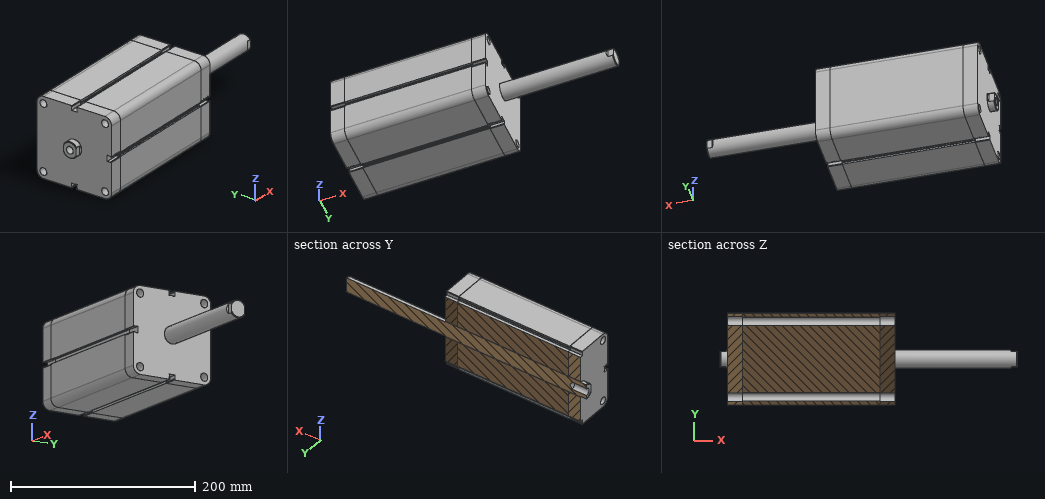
import cadquery as cq
import math

side = 100.0
corner_radius = 9.0
cap_bolt_hole_diameter = 9.0
tube_bolt_hole_diameter = 8.7
cap_bolt_spacing = 82.5
tube_bolt_spacing = 82.0

rod_length = 322.5
rear_stub = 8.0
cap_thickness = 16.5
tube_length = 149.0
rear_cap_start = rear_stub
tube_start = rear_cap_start + cap_thickness
front_cap_start = tube_start + tube_length

slot_width = 7.0
slot_depth = 5.8
cap_mouth_width = 6.0
cap_lip_depth = 1.3
tube_mouth_width = 5.0
tube_lip_depth = 3.0
slot_angles = (-90, 0, 90)

rod_diameter = 20.0
flat_width = 16.8
flat_length = 6.0
end_chamfer = 0.8
thread_hole_diameter = 9.0
thread_hole_depth = 19.5
drill_tip_angle = 118.0


def square_bar(start, length, bolt_spacing, bolt_hole_diameter):
    """Rounded square bar along X with the four bolt holes and the rod bore."""
    return (
        cq.Workplane("YZ", origin=(start, 0, 0))
        .rect(side, side)
        .extrude(length)
        .edges("|X")
        .fillet(corner_radius)
        .faces(">X")
        .workplane(origin=(start, 0, 0))
        .rect(bolt_spacing, bolt_spacing, forConstruction=True)
        .vertices()
        .hole(bolt_hole_diameter)
        .faces(">X")
        .workplane(origin=(start, 0, 0))
        .hole(rod_diameter)
    )


def side_groove(start, length, width, outer_depth, inner_depth):
    """Cutter for a rectangular groove along X in the -Y side, between two depths."""
    groove = cq.Workplane("XY", origin=(start, outer_depth - side / 2, 0))
    return groove.box(length, inner_depth - outer_depth, width, centered=(False, False, True))


def cut_slots(body, start, length, mouth_width, lip_depth):
    """Cut the same T-shaped slot into each slotted side."""
    mouth = side_groove(start, length, mouth_width, 0, lip_depth)
    undercut = side_groove(start, length, slot_width, lip_depth, slot_depth)
    slot = mouth.union(undercut)
    for angle in slot_angles:
        body = body.cut(slot.rotate((0, 0, 0), (1, 0, 0), angle))
    return body


def make_cap(start):
    """End cap with shallow slot lips."""
    bar = square_bar(start, cap_thickness, cap_bolt_spacing, cap_bolt_hole_diameter)
    return cut_slots(bar, start, cap_thickness, cap_mouth_width, cap_lip_depth)


def make_tube():
    """Tube between the caps, with deeper slot lips."""
    bar = square_bar(tube_start, tube_length, tube_bolt_spacing, tube_bolt_hole_diameter)
    return cut_slots(bar, tube_start, tube_length, tube_mouth_width, tube_lip_depth)


def flat_cutter():
    """Cutter at X = 0 for one +Y wrench flat that runs out at 45 degrees."""
    flat = flat_width / 2
    outside = rod_diameter
    return (
        cq.Workplane("XY")
        .moveTo(0, flat)
        .lineTo(flat_length, flat)
        .lineTo(flat_length + outside - flat, outside)
        .lineTo(0, outside)
        .close()
        .extrude(rod_diameter / 2, both=True)
    )


def make_rod():
    """Through rod with wrench flats at both ends and a threaded hole at the rear."""
    rod = cq.Workplane("YZ").circle(rod_diameter / 2).extrude(rod_length)
    rod = rod.faces("<X or >X").chamfer(end_chamfer)

    rear_flat = flat_cutter()
    front_flat = rear_flat.mirror("YZ").translate((rod_length, 0, 0))
    for flat in (rear_flat, front_flat):
        rod = rod.cut(flat).cut(flat.mirror("XZ"))

    hole_radius = thread_hole_diameter / 2
    tip_length = hole_radius / math.tan(math.radians(drill_tip_angle / 2))
    drill = (
        cq.Workplane("XY")
        .lineTo(0, hole_radius)
        .lineTo(thread_hole_depth, hole_radius)
        .lineTo(thread_hole_depth + tip_length, 0)
        .close()
        .revolve(360, (0, 0, 0), (1, 0, 0))
    )
    return rod.cut(drill)


rear_cap = make_cap(rear_cap_start)
tube = make_tube()
front_cap = make_cap(front_cap_start)
rod = make_rod()

result = cq.Compound.makeCompound([rear_cap.val(), tube.val(), front_cap.val(), rod.val()])